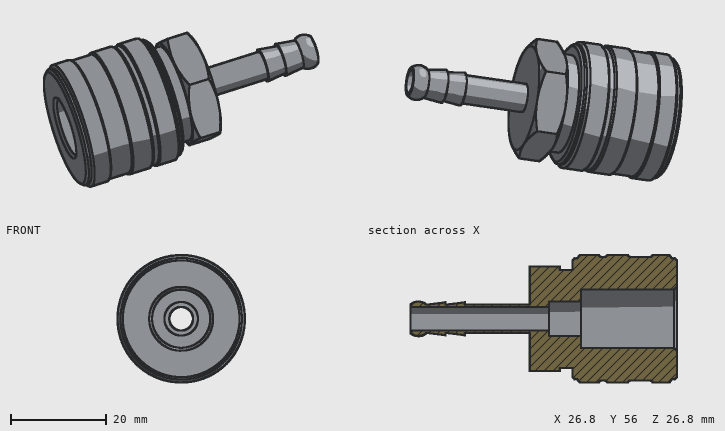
import cadquery as cq
import math

overall_length = 56.0

sleeve_radius = 13.41
groove_radius = 13.075
lip_radius = 12.75
lip_chamfer = 0.5
front_lip_end = 1.1
rear_lip_start = 21.0
sleeve_end = 22.0
front_band = (1.55, 5.15)
middle_band = (10.3, 14.6)
rear_band = (16.4, 20.45)
short_bevel = 0.3
long_bevel = 0.45

neck_radius = 10.35
hex_across_flats = 22.0
hex_start = 24.65
hex_end = 30.95
hex_chamfer_angle = 30.0

tail_radius = 3.0
barb_radius = 3.5
barb_length = 4.05
barb_count = 2
bead_radius = 3.7
bead_length = 3.35

socket_radius = 6.1
socket_chamfer = 0.6
socket_depth = 20.15
step_radius = 3.5
step_depth = 26.9
through_radius = 2.45


def revolve_profile(points):
    """Revolve a closed (radius, y) outline about the Y axis."""
    return cq.Workplane("XY").polyline(points).close().revolve(360, (0, 0), (0, 1))


def cylinder(radius, start, end):
    return revolve_profile([(0, start), (radius, start), (radius, end), (0, end)])


def make_sleeve():
    face_radius = lip_radius - lip_chamfer
    return revolve_profile([
        (0, 0),
        (face_radius, 0),
        (lip_radius, lip_chamfer),
        (lip_radius, front_lip_end),
        (sleeve_radius, front_band[0]),
        (sleeve_radius, front_band[1]),
        (groove_radius, front_band[1] + short_bevel),
        (groove_radius, middle_band[0] - short_bevel),
        (sleeve_radius, middle_band[0]),
        (sleeve_radius, middle_band[1]),
        (groove_radius, middle_band[1] + long_bevel),
        (groove_radius, rear_band[0] - short_bevel),
        (sleeve_radius, rear_band[0]),
        (sleeve_radius, rear_band[1]),
        (lip_radius, rear_lip_start),
        (lip_radius, sleeve_end - lip_chamfer),
        (face_radius, sleeve_end),
        (0, sleeve_end),
    ])


def make_hexagon():
    """Hexagon with corners on +X and -X, its corners cut by a cone at each end."""
    corner_radius = hex_across_flats / 2 / math.cos(math.radians(30))
    flat_radius = hex_across_flats / 2
    drop = (corner_radius - flat_radius) * math.tan(math.radians(hex_chamfer_angle))
    prism = (
        cq.Workplane("XZ", origin=(0, hex_end, 0))
        .polygon(6, 2 * corner_radius)
        .extrude(hex_end - hex_start)
    )
    corner_cones = revolve_profile([
        (0, hex_start),
        (flat_radius, hex_start),
        (corner_radius, hex_start + drop),
        (corner_radius, hex_end - drop),
        (flat_radius, hex_end),
        (0, hex_end),
    ])
    return prism.intersect(corner_cones)


def make_barb(start):
    """Cone that is widest at its start and narrows to the tail radius."""
    return revolve_profile([
        (0, start),
        (barb_radius, start),
        (tail_radius, start + barb_length),
        (0, start + barb_length),
    ])


def make_bead():
    bead_start = overall_length - bead_length
    return (
        cq.Workplane("XY")
        .moveTo(0, bead_start)
        .lineTo(tail_radius, bead_start)
        .threePointArc((bead_radius, bead_start + bead_length / 2), (tail_radius, overall_length))
        .lineTo(0, overall_length)
        .close()
        .revolve(360, (0, 0), (0, 1))
    )


def make_tail():
    bead_start = overall_length - bead_length
    tail = cylinder(tail_radius, hex_end, bead_start).union(make_bead())
    for index in range(barb_count):
        tail = tail.union(make_barb(bead_start - (index + 1) * barb_length))
    return tail


def make_bore():
    return revolve_profile([
        (0, 0),
        (socket_radius + socket_chamfer, 0),
        (socket_radius, socket_chamfer),
        (socket_radius, socket_depth),
        (step_radius, socket_depth),
        (step_radius, step_depth),
        (through_radius, step_depth),
        (through_radius, overall_length),
        (0, overall_length),
    ])


neck = cylinder(neck_radius, sleeve_end, hex_start)
body = make_sleeve().union(neck).union(make_hexagon()).union(make_tail())
result = body.cut(make_bore())